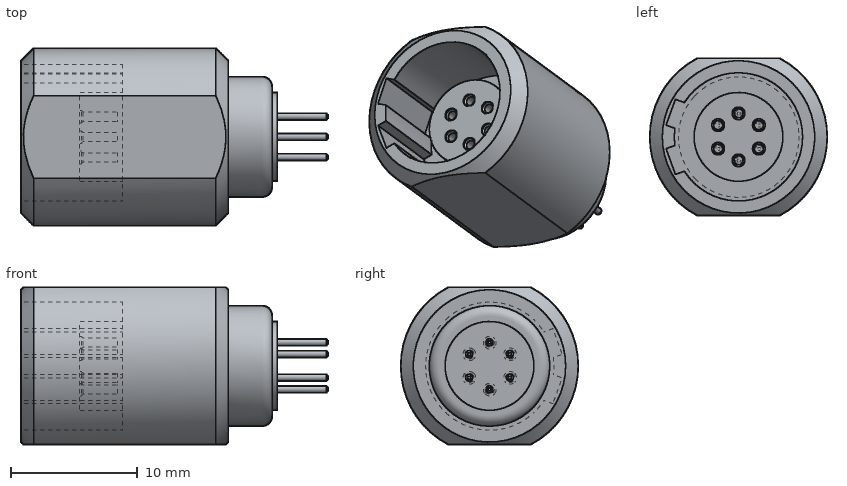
import cadquery as cq
import math

BODY_LENGTH = 16.35
COLLAR_END = 19.8
INSERT_FRONT = 4.6
INSERT_END = 20.2
PIN_END = 24.2

BODY_RADIUS = 7.0
BODY_CHAMFER = 1.0
ACROSS_FLATS = 12.4

COLLAR_RADIUS = 4.75
COLLAR_FILLET = 0.8
INSERT_RADIUS = 3.5

BORE_RADIUS = 5.05
BORE_DEPTH = 8.0
KEYWAY_ANGLE = 20.0
KEYWAY_WIDTH = 2.16
KEYWAY_REACH = 5.68

CONTACT_COUNT = 6
CONTACT_CIRCLE_RADIUS = 1.85
PIN_RADIUS = 0.275
PIN_TIP_CHAMFER = 0.15
SOCKET_RADIUS = 0.36
SOCKET_MOUTH_RADIUS = 0.5
SOCKET_DEPTH = 3.0


def cylinder(start, end, radius):
    """Solid cylinder on the X axis from x = start to x = end."""
    return cq.Workplane("YZ").workplane(offset=start).circle(radius).extrude(end - start)


def make_body():
    """Round body, chamfered at both ends and then cut by two flats."""
    barrel = cylinder(0, BODY_LENGTH, BODY_RADIUS).edges().chamfer(BODY_CHAMFER)
    flats = cq.Workplane("XY").box(
        BODY_LENGTH, 2 * BODY_RADIUS, ACROSS_FLATS, centered=(False, True, True)
    )
    return barrel.intersect(flats)


def make_collar():
    """Rear collar with a rounded outer edge."""
    return cylinder(BODY_LENGTH, COLLAR_END, COLLAR_RADIUS).faces(">X").edges().fillet(COLLAR_FILLET)


def make_insert():
    """Contact insert, standing up inside the bore and out of the rear of the collar."""
    return cylinder(INSERT_FRONT, INSERT_END, INSERT_RADIUS)


def make_bore():
    """Space inside the mating end: the round bore and both keyways."""
    bore = cylinder(0, BORE_DEPTH, BORE_RADIUS)
    for angle in (-KEYWAY_ANGLE, KEYWAY_ANGLE):
        keyway = cq.Workplane("XY").box(
            BORE_DEPTH, KEYWAY_REACH, KEYWAY_WIDTH, centered=(False, False, True)
        )
        bore = bore.union(keyway.rotate((0, 0, 0), (1, 0, 0), angle))
    return bore


def make_pin():
    """Solder pin on the X axis with a chamfered tip."""
    return cylinder(INSERT_END, PIN_END, PIN_RADIUS).faces(">X").edges().chamfer(PIN_TIP_CHAMFER)


def make_socket():
    """Socket hole on the X axis with a countersunk mouth at the insert's front face."""
    mouth_depth = SOCKET_MOUTH_RADIUS - SOCKET_RADIUS
    hole = cylinder(INSERT_FRONT, INSERT_FRONT + SOCKET_DEPTH, SOCKET_RADIUS)
    mouth = cylinder(INSERT_FRONT, INSERT_FRONT + 2 * mouth_depth, SOCKET_MOUTH_RADIUS)
    mouth = mouth.faces(">X").edges().chamfer(mouth_depth)
    return hole.union(mouth)


result = make_body().union(make_collar()).cut(make_bore()).union(make_insert())

for contact in range(CONTACT_COUNT):
    contact_angle = 2 * math.pi * contact / CONTACT_COUNT
    position = (
        0,
        CONTACT_CIRCLE_RADIUS * math.sin(contact_angle),
        CONTACT_CIRCLE_RADIUS * math.cos(contact_angle),
    )
    result = result.union(make_pin().translate(position))
    result = result.cut(make_socket().translate(position))